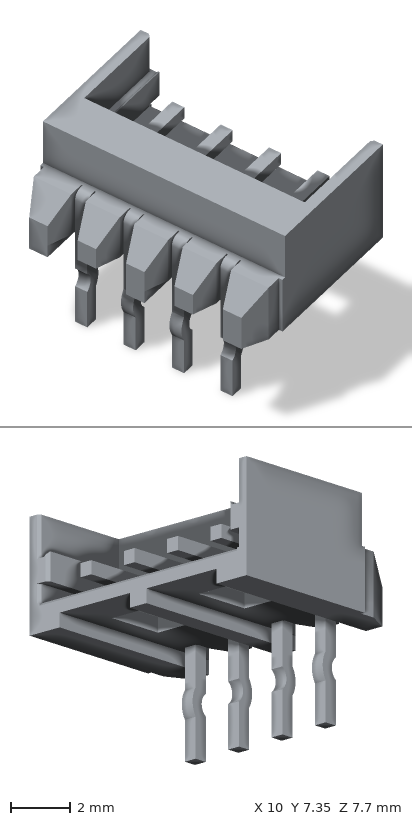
import cadquery as cq


width = 10.0
body_depth = 5.68
body_height = 4.2
front_wall = 1.77
side_wall = 0.45
floor_top = 1.07
lead_in = 0.11

rail_bottom = 1.76
rail_top = 2.64
rail_flat = 0.22
rail_lip = 0.18

ledge_depth = 0.15
ledge_top = 2.33
block_shoulder = 0.74
block_front = 1.67
block_base = 1.4
block_tip = 0.76
end_block_reach = 4.85

pin_count = 4
pitch = 2.0
pin_size = 0.5
pin_inset = 0.63
pin_top = ledge_top
pin_bend_radius = 0.32
leg_front = 0.59
leg_length = 3.5
kink_centre = -1.5
bulge_half_height = 0.52
bulge_rise = 0.15
hollow_half_height = 0.4
hollow_depth = 0.2

window_back_gap = 1.66
slot_height = 0.52

inner_half = width / 2 - side_wall
flat_edge = inner_half - rail_flat
lip_edge = flat_edge - rail_lip
lip_top = rail_top + rail_lip
first_pin = -(pin_count - 1) / 2 * pitch
pin_positions = [first_pin + i * pitch for i in range(pin_count)]
block_positions = [first_pin + (i - 0.5) * pitch for i in range(pin_count + 1)]
end_block = block_positions[-1]


def box(x0, x1, y0, y1, z0, z1):
    """Axis-aligned box between two opposite corners."""
    return cq.Workplane("XY").box(x1 - x0, y1 - y0, z1 - z0, centered=False).translate((x0, y0, z0))


def cavity_section():
    """Cross-section of the cavity: floor, side walls and the two hooked rails."""
    right_side = [
        (inner_half, floor_top),
        (inner_half, rail_bottom),
        (lip_edge, rail_bottom),
        (lip_edge, lip_top),
        (flat_edge, rail_top),
        (inner_half, rail_top),
        (inner_half, body_height),
    ]
    left_side = [(-x, z) for x, z in reversed(right_side)]
    return right_side + left_side


def housing():
    """Open-topped housing with the ledge across its front."""
    half = width / 2
    body = box(-half, half, 0, body_depth, 0, body_height)
    body = body.union(box(-half, half, -ledge_depth, 0, 0, ledge_top))
    cavity = (
        cq.Workplane("XZ", origin=(0, front_wall, 0))
        .polyline(cavity_section())
        .close()
        .extrude(front_wall - body_depth)
    )
    return body.cut(cavity).cut(flare_cutter())


def flare_cutter():
    """Wedges that bevel the floor, the walls and the rail faces at the open rear."""
    bevel_start = body_depth - lead_in
    cutter = (
        cq.Workplane("YZ", origin=(-inner_half, 0, 0))
        .polyline([(bevel_start, floor_top), (body_depth, floor_top), (body_depth, floor_top - lead_in)])
        .close()
        .extrude(2 * inner_half)
    )
    for side in (-1, 1):
        for face, bottom, top in (
            (lip_edge, rail_bottom, lip_top),
            (inner_half, floor_top, rail_bottom),
            (inner_half, rail_top, body_height),
        ):
            cutter = cutter.union(
                cq.Workplane("XY", origin=(0, 0, bottom))
                .polyline([
                    (side * face, bevel_start),
                    (side * face, body_depth),
                    (side * (face + lead_in), body_depth),
                ])
                .close()
                .extrude(top - bottom)
            )
    return cutter


def block(x):
    """Tapered block: straight shoulders, then sides and top narrowing to the tip."""
    left = -end_block_reach if x <= -end_block else x - block_base / 2
    right = end_block_reach if x >= end_block else x + block_base / 2
    plan = (
        cq.Workplane("XY")
        .polyline([
            (left, -ledge_depth),
            (left, -block_shoulder),
            (x - block_tip / 2, -block_front),
            (x + block_tip / 2, -block_front),
            (right, -block_shoulder),
            (right, -ledge_depth),
        ])
        .close()
        .extrude(ledge_top)
    )
    slope = block_front - block_shoulder
    bevel = (
        cq.Workplane("YZ", origin=(left, 0, 0))
        .polyline([
            (-block_shoulder, ledge_top),
            (-block_front, ledge_top),
            (-block_front, ledge_top - slope),
        ])
        .close()
        .extrude(right - left)
    )
    return plan.cut(bevel)


def pin(x, bulge_side):
    """Bent pin whose leg has a kink; bulge_side is +1 to bulge backwards, -1 forwards."""
    leg_back = leg_front - pin_size
    middle = -(leg_front + leg_back) / 2
    half = pin_size / 2
    profile = (
        cq.Workplane("YZ", origin=(x - half, 0, 0))
        .moveTo(body_depth - pin_inset, pin_top)
        .lineTo(-leg_front + pin_bend_radius, pin_top)
        .radiusArc((-leg_front, pin_top - pin_bend_radius), -pin_bend_radius)
        .lineTo(-leg_front, -leg_length)
        .lineTo(-leg_back, -leg_length)
        .lineTo(-leg_back, pin_top - pin_size)
        .lineTo(body_depth - pin_inset, pin_top - pin_size)
        .close()
        .extrude(pin_size)
    )

    def kink(face, half_height, rise):
        return (
            cq.Workplane("YZ", origin=(x - half, 0, 0))
            .moveTo(face, kink_centre - half_height)
            .threePointArc((face + bulge_side * rise, kink_centre), (face, kink_centre + half_height))
            .close()
            .extrude(pin_size)
        )

    bulge = kink(middle + bulge_side * half, bulge_half_height, bulge_rise)
    hollow = kink(middle - bulge_side * half, hollow_half_height, hollow_depth)
    return profile.union(bulge).cut(hollow)


def slot_and_window(side):
    """Underside slot between the middle and end feet, with a floor window above it."""
    centre = side * end_block / 2
    half_slot = (end_block - block_tip) / 2
    half_window = (pitch - pin_size) / 2
    slot = box(
        centre - half_slot, centre + half_slot,
        -block_front, body_depth,
        0, slot_height,
    )
    window = box(
        centre - half_window, centre + half_window,
        front_wall, body_depth - window_back_gap,
        0, floor_top,
    )
    return slot.union(window)


result = housing()
for block_x in block_positions:
    result = result.union(block(block_x))
for slot_side in (-1, 1):
    result = result.cut(slot_and_window(slot_side))
for pin_x in pin_positions:
    result = result.union(pin(pin_x, 1 if abs(pin_x) > pitch else -1))